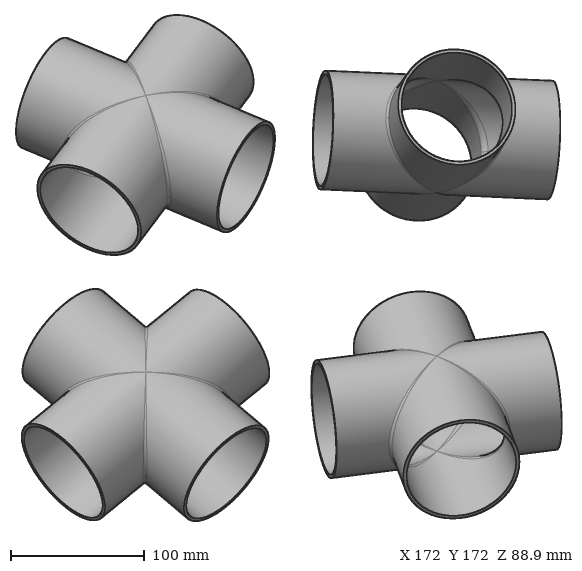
import cadquery as cq

overall_length = 172.0
outer_diameter = 88.9
bore_diameter = 83.7
outer_joint_radius = 2.0

wall_thickness = (outer_diameter - bore_diameter) / 2
bore_joint_radius = outer_joint_radius + wall_thickness


def crossed_cylinders(diameter, joint_radius):
    """Two equal cylinders along X and Y, blended along the seams where they meet."""
    radius = diameter / 2
    half_length = overall_length / 2
    along_x = cq.Workplane("YZ").circle(radius).extrude(half_length, both=True)
    along_y = cq.Workplane("XZ").circle(radius).extrude(half_length, both=True)
    cross = along_x.union(along_y)
    return cross.edges("%ELLIPSE").fillet(joint_radius)


outer_walls = crossed_cylinders(outer_diameter, outer_joint_radius)
bores = crossed_cylinders(bore_diameter, bore_joint_radius)
result = outer_walls.cut(bores)